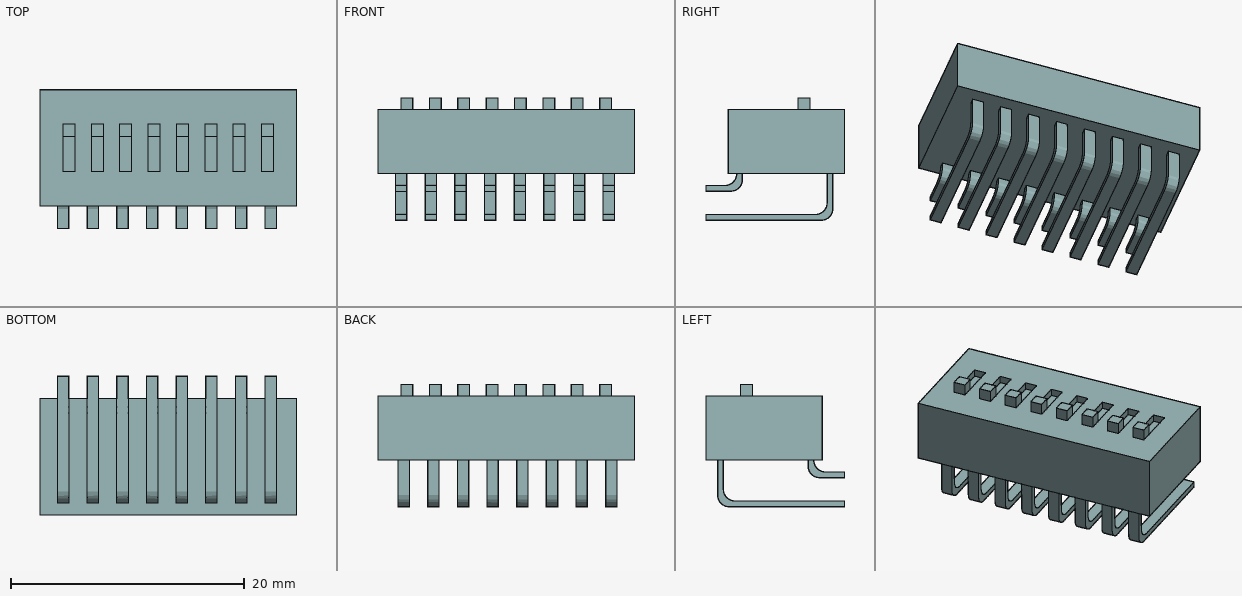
import cadquery as cq


body_length = 22.0
body_depth = 9.99
body_height = 5.5
back_y = body_depth / 2

switch_count = 8
switch_row_span = 17.0
slot_width = 1.03
slot_length = 4.05
slot_depth = 0.62
slot_back_inset = 2.97
slot_back_y = back_y - slot_back_inset
slider_length = slot_width
slider_rise = 1.0

lead_count = switch_count
lead_row_span = 17.78
lead_shift_x = -0.1
lead_width = 1.0
lead_thickness = 0.5
bend_radius = 1.0
lead_overhang = 1.91
lead_tip_y = -back_y - lead_overhang

rear_row_inset = 1.01
row_spacing = 7.75
rear_row_y = back_y - rear_row_inset
front_row_y = rear_row_y - row_spacing
rear_row_drop = 4.0
front_row_drop = 1.52

root_length = 0.22


def centred_row(count, span, shift=0.0):
    """X positions of equally spaced items; span runs from the first centre to the last."""
    pitch = span / (count - 1)
    return [shift + (i - (count - 1) / 2) * pitch for i in range(count)]


def block(x_centre, y_back, z_bottom, width, length, height):
    """Box centred on x_centre that extends from y_back towards -Y."""
    return (
        cq.Workplane("XY")
        .box(width, length, height, centered=(True, False, False))
        .translate((x_centre, y_back - length, z_bottom))
    )


def make_lead(x_centre, y_back, drop):
    """Flat strip that goes down from the body and bends towards -Y."""
    y_front = y_back - lead_thickness
    z_top = lead_thickness - drop
    strip = (
        cq.Workplane("YZ")
        .moveTo(y_back, root_length)
        .lineTo(y_back, bend_radius - drop)
        .radiusArc((y_back - bend_radius, -drop), bend_radius)
        .lineTo(lead_tip_y, -drop)
        .lineTo(lead_tip_y, z_top)
        .lineTo(y_front - bend_radius, z_top)
        .radiusArc((y_front, z_top + bend_radius), -bend_radius)
        .lineTo(y_front, root_length)
        .close()
        .extrude(lead_width / 2, both=True)
    )
    return strip.translate((x_centre, 0, 0))


result = block(0, back_y, 0, body_length, body_depth, body_height)

slot_floor_z = body_height - slot_depth
slider_height = slot_depth + slider_rise
for x in centred_row(switch_count, switch_row_span):
    slot = block(x, slot_back_y, slot_floor_z, slot_width, slot_length, slot_depth)
    slider = block(x, slot_back_y, slot_floor_z, slot_width, slider_length, slider_height)
    result = result.cut(slot).union(slider)

for x in centred_row(lead_count, lead_row_span, lead_shift_x):
    result = result.union(make_lead(x, rear_row_y, rear_row_drop))
    result = result.union(make_lead(x, front_row_y, front_row_drop))